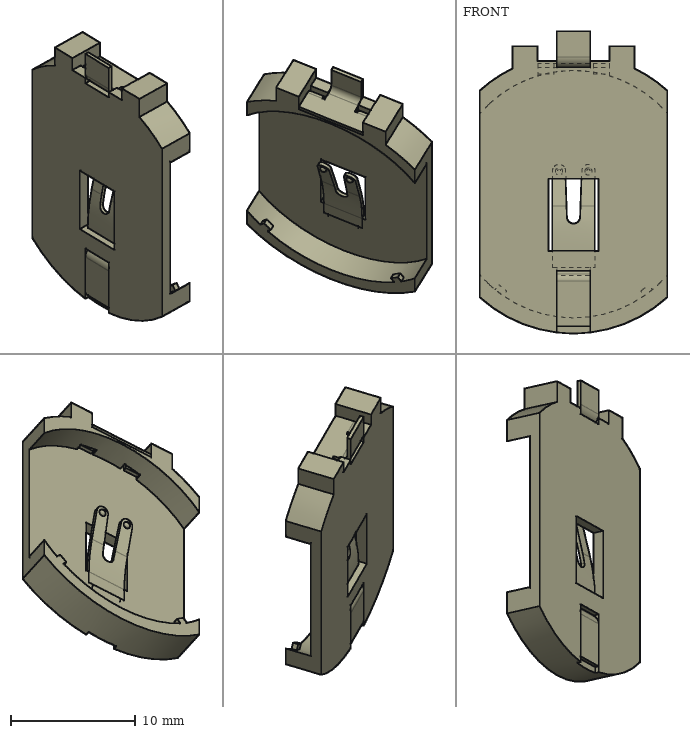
import cadquery as cq
import math


HALF_WIDTH = 7.55
DEPTH = 3.1
FLOOR = 0.92
OUTER_RADIUS = 11.23
CELL_RADIUS = 9.95

POST_OUTER_X = 4.92
POST_INNER_X = 2.88
POST_TOP = 11.88
LEDGE_Z = 10.7

WINDOW_HALF_WIDTH = 2.0
WINDOW_BOTTOM = -4.57
WINDOW_TOP = 1.21

LUG_INNER_RADIUS = 9.45
LUG_LENGTH = 0.8
LUG_THICKNESS = 0.45
LUG_ANGLE = 50.5

SHEET = 0.33
STRIP_HALF_WIDTH = 1.35

TAB_TOP = 13.09
TAB_SEAT_Z = 10.19
TAB_OUTER_BEND = 0.84
PLATE_FRONT_Y = 1.5
SHOULDER_INNER_X = 1.57
SHOULDER_OUTER_BEND = 0.45
SHOULDER_DROP = 0.4

SOLDER_END_Z = -10.65
JOG_START_Z = -6.99
JOG_ANGLE = 45
JOG_BEND = 0.63
RECESS_TOP = -6.17
SPRING_HALF_WIDTH = 1.715
SPRING_ANGLE = 14
SPRING_BEND_TOP = -0.98
FINGER_TIP_Z = 2.4
SLOT_BOTTOM = -2.37
SLOT_BOTTOM_RADIUS = 0.52
SLOT_TOP_HALF_WIDTH = 0.65
DIMPLE_RADIUS = 0.3
DIMPLE_SINK = 0.05


def box(x_range, y_range, z_range):
    """Axis-aligned block between the given limits."""
    sizes = [high - low for low, high in (x_range, y_range, z_range)]
    corner = (x_range[0], y_range[0], z_range[0])
    return cq.Workplane("XY").box(*sizes, centered=False).translate(corner)


def disc(radius, y_start, y_end):
    """Cylinder about the cell axis."""
    return cq.Workplane("XZ", origin=(0, y_start, 0)).circle(radius).extrude(y_start - y_end)


def bent_strip(start, heading, segments, x_range):
    """Sheet strip following a centre line in the YZ plane.

    Each segment is (length, turn): a straight run when turn is 0, otherwise a bend
    of centre-line radius `length` through `turn` degrees, positive to the left.
    """
    y, z = start
    angle = math.radians(heading)

    def side_points(py, pz, direction):
        ny = -math.sin(direction) * SHEET / 2
        nz = math.cos(direction) * SHEET / 2
        return (py + ny, pz + nz), (py - ny, pz - nz)

    stations = [side_points(y, z, angle)]
    middles = []
    for length, turn in segments:
        if turn == 0:
            middles.append(None)
            y += length * math.cos(angle)
            z += length * math.sin(angle)
        else:
            side = math.copysign(1, turn)
            centre_y = y - side * length * math.sin(angle)
            centre_z = z + side * length * math.cos(angle)
            for half in range(2):
                angle += math.radians(turn) / 2
                y = centre_y + side * length * math.sin(angle)
                z = centre_z - side * length * math.cos(angle)
                if half == 0:
                    middles.append(side_points(y, z, angle))
        stations.append(side_points(y, z, angle))

    def trace(outline, side, order):
        for middle, end in order:
            if middle is None:
                outline = outline.lineTo(*end[side])
            else:
                outline = outline.threePointArc(middle[side], end[side])
        return outline

    outline = cq.Workplane("YZ", origin=(x_range[0], 0, 0)).moveTo(*stations[0][0])
    outline = trace(outline, 0, zip(middles, stations[1:]))
    outline = outline.lineTo(*stations[-1][1])
    outline = trace(outline, 1, zip(middles[::-1], stations[-2::-1]))
    return outline.close().extrude(x_range[1] - x_range[0])


def make_tab_terminal():
    half_sheet = SHEET / 2
    plate_z = (TAB_SEAT_Z, TAB_SEAT_Z + SHEET)
    strip = bent_strip(
        (half_sheet, TAB_TOP),
        -90,
        [
            (TAB_TOP - TAB_SEAT_Z - TAB_OUTER_BEND, 0),
            (TAB_OUTER_BEND - half_sheet, 90),
            (DEPTH - TAB_OUTER_BEND, 0),
        ],
        (-STRIP_HALF_WIDTH, STRIP_HALF_WIDTH),
    )
    terminal = strip.union(box((-POST_INNER_X, POST_INNER_X), (PLATE_FRONT_Y, DEPTH), plate_z))

    for x_range in ((-POST_INNER_X, -SHOULDER_INNER_X), (SHOULDER_INNER_X, POST_INNER_X)):
        shoulder = bent_strip(
            (PLATE_FRONT_Y, TAB_SEAT_Z + half_sheet),
            180,
            [(SHOULDER_OUTER_BEND - half_sheet, 90), (SHOULDER_DROP, 0)],
            x_range,
        )
        terminal = terminal.union(shoulder)
    return terminal


JOG_RISE = FLOOR - SHEET
JOG_BEND_HEIGHT = JOG_BEND * math.sin(math.radians(JOG_ANGLE))
JOG_BEND_RISE = JOG_BEND * (1 - math.cos(math.radians(JOG_ANGLE)))
JOG_SLOPE = (JOG_RISE - 2 * JOG_BEND_RISE) / math.sin(math.radians(JOG_ANGLE))
JOG_END_Z = JOG_START_Z + 2 * JOG_BEND_HEIGHT + JOG_SLOPE * math.cos(math.radians(JOG_ANGLE))

SPRING_SIN = math.sin(math.radians(SPRING_ANGLE))
SPRING_COS = math.cos(math.radians(SPRING_ANGLE))
SPRING_BEND = (SPRING_BEND_TOP - WINDOW_BOTTOM) / SPRING_SIN
FINGER_ROUND = (SPRING_HALF_WIDTH - SLOT_TOP_HALF_WIDTH) / 2
FINGER_X = SPRING_HALF_WIDTH - FINGER_ROUND
FINGER_ROUND_Z = FINGER_TIP_Z - FINGER_ROUND


def finger_outline():
    """Front outline of the spring: two round-ended fingers around a tapered slot."""
    slot_centre_z = SLOT_BOTTOM + SLOT_BOTTOM_RADIUS
    return (
        cq.Workplane("XZ")
        .moveTo(-SPRING_HALF_WIDTH, JOG_END_Z)
        .lineTo(-SPRING_HALF_WIDTH, FINGER_ROUND_Z)
        .threePointArc((-FINGER_X, FINGER_TIP_Z), (-SLOT_TOP_HALF_WIDTH, FINGER_ROUND_Z))
        .lineTo(-SLOT_BOTTOM_RADIUS, slot_centre_z)
        .threePointArc((0, SLOT_BOTTOM), (SLOT_BOTTOM_RADIUS, slot_centre_z))
        .lineTo(SLOT_TOP_HALF_WIDTH, FINGER_ROUND_Z)
        .threePointArc((FINGER_X, FINGER_TIP_Z), (SPRING_HALF_WIDTH, FINGER_ROUND_Z))
        .lineTo(SPRING_HALF_WIDTH, JOG_END_Z)
        .close()
        .extrude(-DEPTH)
    )


def make_spring_terminal():
    half_sheet = SHEET / 2
    terminal = bent_strip(
        (half_sheet, SOLDER_END_Z),
        90,
        [
            (JOG_START_Z - SOLDER_END_Z, 0),
            (JOG_BEND, -JOG_ANGLE),
            (JOG_SLOPE, 0),
            (JOG_BEND, JOG_ANGLE),
        ],
        (-STRIP_HALF_WIDTH, STRIP_HALF_WIDTH),
    )
    spring = bent_strip(
        (FLOOR - half_sheet, JOG_END_Z),
        90,
        [
            (WINDOW_BOTTOM - JOG_END_Z, 0),
            (SPRING_BEND, -SPRING_ANGLE),
            ((FINGER_TIP_Z - SPRING_BEND_TOP) / SPRING_COS + SHEET, 0),
        ],
        (-SPRING_HALF_WIDTH, SPRING_HALF_WIDTH),
    )
    terminal = terminal.union(spring.intersect(finger_outline()))

    bend_top_y = FLOOR - half_sheet + SPRING_BEND * (1 - SPRING_COS)
    centre_y = bend_top_y + (FINGER_ROUND_Z - SPRING_BEND_TOP) * SPRING_SIN / SPRING_COS
    offset = half_sheet - DIMPLE_SINK
    for x in (-FINGER_X, FINGER_X):
        centre = (x, centre_y + offset * SPRING_COS, FINGER_ROUND_Z - offset * SPRING_SIN)
        dimple = cq.Workplane("XY").sphere(DIMPLE_RADIUS).translate(centre)
        terminal = terminal.union(dimple)
    return terminal


def make_housing(tab_terminal, spring_terminal):
    sides = (-HALF_WIDTH, HALF_WIDTH)
    body = disc(OUTER_RADIUS, 0, DEPTH).intersect(
        box(sides, (0, DEPTH), (-OUTER_RADIUS, OUTER_RADIUS))
    )
    posts = box((-POST_OUTER_X, POST_OUTER_X), (0, DEPTH), (0, POST_TOP))
    body = body.union(posts)
    body = body.cut(disc(CELL_RADIUS, FLOOR, DEPTH))

    gap = (-POST_INNER_X, POST_INNER_X)
    strip = (-STRIP_HALF_WIDTH, STRIP_HALF_WIDTH)
    body = body.cut(box(gap, (0, FLOOR), (LEDGE_Z, POST_TOP)))
    body = body.cut(box(gap, (FLOOR, DEPTH), (TAB_SEAT_Z, POST_TOP)))
    body = body.cut(box(strip, (0, FLOOR), (TAB_SEAT_Z, POST_TOP)))

    for x_range in ((-POST_INNER_X, -STRIP_HALF_WIDTH), (STRIP_HALF_WIDTH, POST_INNER_X)):
        body = body.cut(box(x_range, (FLOOR, PLATE_FRONT_Y), (0, TAB_SEAT_Z)))

    window = (-WINDOW_HALF_WIDTH, WINDOW_HALF_WIDTH)
    body = body.cut(box(window, (0, FLOOR), (WINDOW_BOTTOM, WINDOW_TOP)))

    jog_bend_end = JOG_START_Z + JOG_BEND_HEIGHT
    body = body.cut(box(strip, (0, SHEET), (-OUTER_RADIUS, RECESS_TOP)))
    body = body.cut(box(strip, (0, JOG_RISE), (jog_bend_end, RECESS_TOP)))

    lug_outer_radius = (CELL_RADIUS + OUTER_RADIUS) / 2
    lug = box((LUG_INNER_RADIUS, lug_outer_radius), (DEPTH - LUG_THICKNESS, DEPTH), (-LUG_LENGTH, 0))
    lug = lug.rotate((0, 0, 0), (0, 1, 0), LUG_ANGLE)
    body = body.union(lug).union(lug.mirror("YZ"))

    return body.cut(tab_terminal).cut(spring_terminal)


tab_terminal = make_tab_terminal()
spring_terminal = make_spring_terminal()
housing = make_housing(tab_terminal, spring_terminal)
result = cq.Compound.makeCompound(
    [body.solids().val() for body in (housing, tab_terminal, spring_terminal)]
)